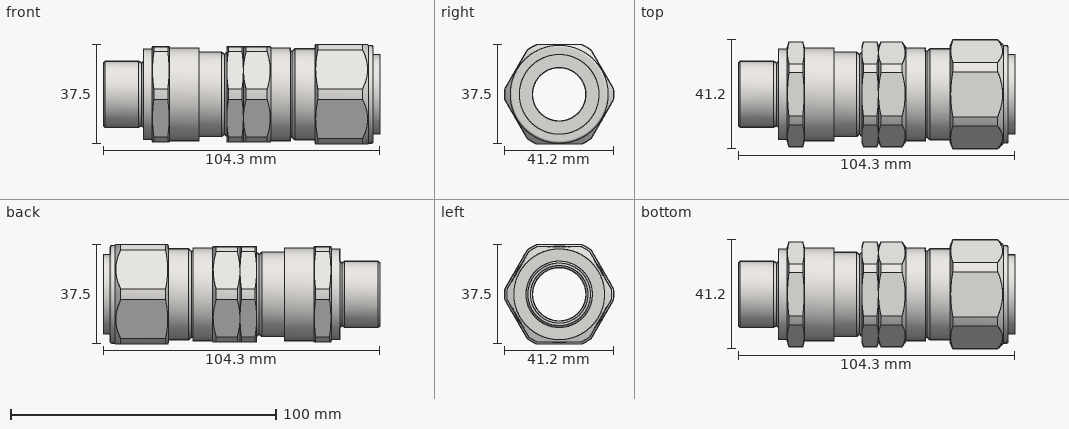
import cadquery as cq
import math


thread_end = 13.4
thread_relief_bottom = 14.4
flange_start = 15.1
entry_nut_start = 18.4
entry_nut_end = 24.9
sleeve_end = 36.1
body_end = 44.5
neck_bottom = 45.7
lock_nut_start = 46.5
lock_nut_end = 52.8
union_nut_end = 63.2
collar_end = 70.5
groove_end = 71.1
gland_body_start = 72.2
gland_nut_start = 79.8
gland_nut_end = 99.9
end_ring_end = 101.7
total_length = 104.3

thread_radius = 12.5
thread_relief_radius = 11.8
flange_radius = 17.1
sleeve_radius = 17.5
body_radius = 16.0
neck_radius = 15.0
groove_radius = 16.3
gland_body_radius = 17.2
end_ring_radius = 18.5
tail_radius = 15.0

thread_tip_chamfer = 0.7
end_ring_fillet = 0.8

bore_radius = 10.0
bore_mouth_radius = 10.8
bore_mouth_depth = 0.5

small_across_flats = 36.0
small_across_corners = 39.5
gland_across_flats = 37.5
gland_across_corners = 41.2

entry_nut_start_bevel = (0.7, 17.3)
entry_nut_end_bevel = (0.6, sleeve_radius)
lock_nut_start_bevel = (0.6, 17.9)
lock_nut_end_bevel = (0.5, 17.9)
union_nut_start_bevel = (1.0, 17.9)
union_nut_end_bevel = (1.5, sleeve_radius)
gland_nut_start_bevel = (1.0, 18.3)
gland_nut_end_bevel = (2.2, end_ring_radius)


def turned(profile):
    """Solid of revolution about X from a closed outline of (x, radius) points."""
    return cq.Workplane("XY").polyline(profile).close().revolve(360, (0, 0), (1, 0))


def turned_core():
    """Every round stretch except the end ring, running through inside the nuts."""
    profile = [
        (0, 0),
        (0, thread_radius - thread_tip_chamfer),
        (thread_tip_chamfer, thread_radius),
        (thread_end, thread_radius),
        (thread_relief_bottom, thread_relief_radius),
        (flange_start, thread_radius),
        (flange_start, flange_radius),
        (entry_nut_end, flange_radius),
        (entry_nut_end, sleeve_radius),
        (sleeve_end, sleeve_radius),
        (sleeve_end, body_radius),
        (body_end, body_radius),
        (neck_bottom, neck_radius),
        (lock_nut_start, body_radius),
        (union_nut_end, body_radius),
        (union_nut_end, sleeve_radius),
        (collar_end, sleeve_radius),
        (collar_end, groove_radius),
        (groove_end, groove_radius),
        (gland_body_start, gland_body_radius),
        (gland_nut_end, gland_body_radius),
        (gland_nut_end, tail_radius),
        (total_length, tail_radius),
        (total_length, 0),
    ]
    return turned(profile)


def hex_nut(start, end, across_flats, across_corners, start_bevel, end_bevel):
    """Hexagon with flats on +Z and -Z; each bevel is (axial length, radius at the end face)."""
    start_length, start_radius = start_bevel
    end_length, end_radius = end_bevel
    corner_radius = across_corners / 2
    sharp_across_corners = across_flats / math.cos(math.pi / 6)
    prism = (
        cq.Workplane("YZ")
        .workplane(offset=start)
        .polygon(6, sharp_across_corners)
        .extrude(end - start)
    )
    envelope = turned(
        [
            (start, 0),
            (start, start_radius),
            (start + start_length, corner_radius),
            (end - end_length, corner_radius),
            (end, end_radius),
            (end, 0),
        ]
    )
    return prism.intersect(envelope)


def end_ring():
    """Round ring closing the gland nut, rounded on its outer edge."""
    ring = (
        cq.Workplane("YZ")
        .workplane(offset=gland_nut_end)
        .circle(end_ring_radius)
        .extrude(end_ring_end - gland_nut_end)
    )
    return ring.faces(">X").edges().fillet(end_ring_fillet)


def bore():
    """Through bore with a chamfered mouth at the threaded tip."""
    profile = [
        (0, 0),
        (0, bore_mouth_radius),
        (bore_mouth_depth, bore_radius),
        (total_length, bore_radius),
        (total_length, 0),
    ]
    return turned(profile)


def small_nut(start, end, start_bevel, end_bevel):
    """Hexagon nut of the smaller size."""
    return hex_nut(start, end, small_across_flats, small_across_corners, start_bevel, end_bevel)


entry_nut = small_nut(entry_nut_start, entry_nut_end, entry_nut_start_bevel, entry_nut_end_bevel)
lock_nut = small_nut(lock_nut_start, lock_nut_end, lock_nut_start_bevel, lock_nut_end_bevel)
union_nut = small_nut(lock_nut_end, union_nut_end, union_nut_start_bevel, union_nut_end_bevel)
gland_nut = hex_nut(
    gland_nut_start,
    gland_nut_end,
    gland_across_flats,
    gland_across_corners,
    gland_nut_start_bevel,
    gland_nut_end_bevel,
)

result = turned_core()
for piece in (entry_nut, lock_nut, union_nut, gland_nut, end_ring()):
    result = result.union(piece)
result = result.cut(bore())